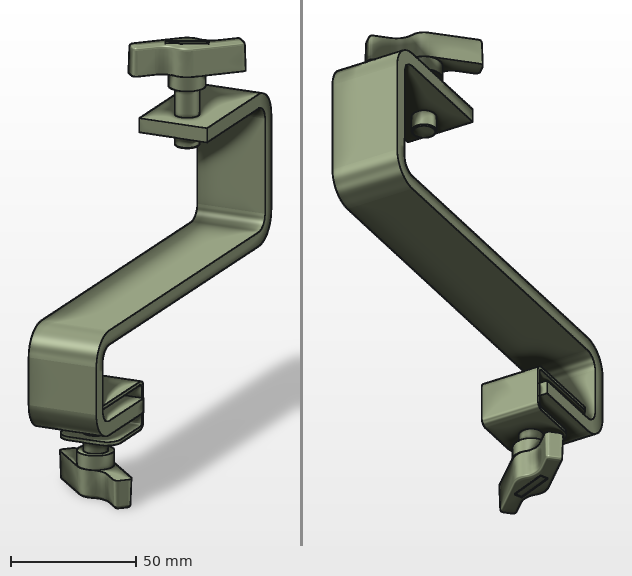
import cadquery as cq
import math


total_height = 164.5

strip_width = 30.0
strip_thickness = 6.0
bend_outer_radius = 12.0
bend_inner_radius = bend_outer_radius - strip_thickness
bracket_length = 163.0
upper_flange_length = 60.0
lower_flange_length = 44.0
upper_hook_height = 64.0
lower_hook_height = 44.0
lower_flange_z = 32.3

stud_diameter = 10.0
stud_length = 25.0
stud_tip_chamfer = 0.5
collar_diameter = 15.0
collar_height = 6.0
screw_edge_distance = 13.0

knob_height = 12.25
hub_radius = 7.7
wing_reach = 22.8
wing_corner_radius = 2.0
wing_blend_radius = 8.0
knob_taper = 2.0
knob_edge_fillet = 1.5
wing_angle = 45.0
label_length = 17.4
label_width = 3.6
label_depth = 0.4
label_angle = -22.0

clip_width = 26.0
clip_thickness = 1.5
clip_height = 20.5
clip_upper_length = 40.0
clip_lower_length = 27.0
clip_bend_radius = 3.0
clip_upper_corner_radius = 3.5
clip_lower_corner_radius = 6.0
clip_back_y = 48.0

screw_length = knob_height + collar_height + stud_length
lower_stud_tip_z = screw_length
clip_top_z = lower_stud_tip_z + clip_thickness
clip_bottom_z = clip_top_z - clip_height
web_top_z = lower_flange_z + lower_hook_height
web_bottom_z = web_top_z - strip_thickness
upper_flange_z = web_bottom_z + upper_hook_height
lower_screw_y = lower_flange_length - screw_edge_distance
upper_screw_y = bracket_length - upper_flange_length + screw_edge_distance


def box_between(width, y_range, z_range):
    """Box centred on X = 0 spanning the given Y and Z ranges."""
    y_size = y_range[1] - y_range[0]
    z_size = z_range[1] - z_range[0]
    box = cq.Workplane("XY").box(width, y_size, z_size, centered=(True, False, False))
    return box.translate((0, y_range[0], z_range[0]))


def stud_hole(y, z, depth):
    """Cylinder that cuts a stud hole at the given Y, upwards from height Z."""
    return cq.Workplane("XY", origin=(0, y, z)).circle(stud_diameter / 2).extrude(depth)


def make_bracket():
    """S-shaped strip: upper flange, rear web, long bridge, front web and lower flange."""
    outline = [
        (lower_flange_length, lower_flange_z),
        (0, lower_flange_z),
        (0, web_top_z),
        (bracket_length - strip_thickness, web_top_z),
        (bracket_length - strip_thickness, upper_flange_z - strip_thickness),
        (bracket_length - upper_flange_length, upper_flange_z - strip_thickness),
        (bracket_length - upper_flange_length, upper_flange_z),
        (bracket_length, upper_flange_z),
        (bracket_length, web_bottom_z),
        (strip_thickness, web_bottom_z),
        (strip_thickness, lower_flange_z + strip_thickness),
        (lower_flange_length, lower_flange_z + strip_thickness),
    ]
    strip = cq.Workplane("YZ").polyline(outline).close().extrude(strip_width / 2, both=True)

    outer_corners = [outline[1], outline[2], outline[7], outline[8]]
    inner_corners = [outline[3], outline[4], outline[9], outline[10]]
    for corners, radius in ((outer_corners, bend_outer_radius), (inner_corners, bend_inner_radius)):
        for y, z in corners:
            strip = strip.edges(cq.selectors.NearestToPointSelector((0, y, z))).fillet(radius)

    lower_hole = stud_hole(lower_screw_y, lower_flange_z, strip_thickness)
    upper_hole = stud_hole(upper_screw_y, upper_flange_z - strip_thickness, strip_thickness)
    return strip.cut(lower_hole).cut(upper_hole)


def make_clip():
    """U-shaped sheet clip around the lower flange, open towards the front web."""
    upper_end_y = clip_back_y - clip_upper_length
    lower_end_y = clip_back_y - clip_lower_length
    outer = box_between(clip_width, (upper_end_y, clip_back_y), (clip_bottom_z, clip_top_z))
    outer = outer.edges("|X and >Y").fillet(clip_bend_radius)
    opening = box_between(
        clip_width,
        (upper_end_y, clip_back_y - clip_thickness),
        (clip_bottom_z + clip_thickness, clip_top_z - clip_thickness),
    )
    opening = opening.edges("|X and >Y").fillet(clip_bend_radius - clip_thickness)
    lower_trim = box_between(
        clip_width, (upper_end_y, lower_end_y), (clip_bottom_z, clip_bottom_z + clip_thickness)
    )
    clip = outer.cut(opening).cut(lower_trim)

    clip = clip.edges("|Z and <Y").fillet(clip_upper_corner_radius)
    lower_tip = cq.selectors.BoxSelector(
        (-clip_width, lower_end_y - clip_thickness, clip_bottom_z),
        (clip_width, lower_end_y + clip_thickness, clip_bottom_z + clip_thickness),
    )
    clip = clip.edges(lower_tip).edges("|Z").fillet(clip_lower_corner_radius)

    return clip.cut(stud_hole(lower_screw_y, clip_bottom_z, clip_thickness))


def wing_outline():
    """Two-winged knob outline, point-symmetric, with its wings along X.

    Each wing has one long side tangent to the hub and the other blended into the hub by a hollow arc.
    """
    blend_x = math.sqrt((hub_radius + wing_blend_radius) ** 2 - wing_blend_radius**2)
    hub_share = hub_radius / (hub_radius + wing_blend_radius)
    blend_on_hub = (-blend_x * hub_share, -wing_blend_radius * hub_share)
    hub_mid_angle = (math.atan2(blend_on_hub[1], blend_on_hub[0]) - math.pi / 2) / 2
    hub_mid = (hub_radius * math.cos(hub_mid_angle), hub_radius * math.sin(hub_mid_angle))
    blend_mid_angle = (math.pi / 2 + math.atan2(wing_blend_radius, blend_x)) / 2
    blend_mid = (
        -blend_x + wing_blend_radius * math.cos(blend_mid_angle),
        -wing_blend_radius + wing_blend_radius * math.sin(blend_mid_angle),
    )
    return (
        cq.Workplane("XY")
        .moveTo(0, hub_radius)
        .lineTo(-wing_reach, hub_radius)
        .lineTo(-wing_reach, 0)
        .lineTo(-blend_x, 0)
        .threePointArc(blend_mid, blend_on_hub)
        .threePointArc(hub_mid, (0, -hub_radius))
        .lineTo(wing_reach, -hub_radius)
        .lineTo(wing_reach, 0)
        .lineTo(blend_x, 0)
        .threePointArc((-blend_mid[0], -blend_mid[1]), (-blend_on_hub[0], -blend_on_hub[1]))
        .threePointArc((-hub_mid[0], -hub_mid[1]), (0, hub_radius))
        .close()
    )


def make_screw():
    """Wing screw standing on its stud tip: stud, collar and knob stacked along Z from Z = 0."""
    stud = (
        cq.Workplane("XY")
        .circle(stud_diameter / 2)
        .extrude(stud_length)
        .faces("<Z")
        .chamfer(stud_tip_chamfer)
    )
    collar = (
        cq.Workplane("XY", origin=(0, 0, stud_length))
        .circle(collar_diameter / 2)
        .extrude(collar_height)
    )

    sharp_outline = wing_outline().wire().val()
    wing_tips = [v for v in sharp_outline.Vertices() if math.isclose(abs(v.X), wing_reach)]
    knob_outline = sharp_outline.fillet2D(wing_corner_radius, wing_tips)
    knob = cq.Workplane("XY").add(knob_outline).toPending().extrude(knob_height, taper=knob_taper)
    knob = knob.faces(">Z").edges().fillet(knob_edge_fillet)

    label_recess = (
        cq.Workplane("XY", origin=(0, 0, knob_height - label_depth))
        .transformed(rotate=(0, 0, label_angle))
        .rect(label_length, label_width)
        .extrude(label_depth)
    )
    knob = knob.cut(label_recess)
    knob = knob.rotate((0, 0, 0), (0, 0, 1), wing_angle).translate((0, 0, stud_length + collar_height))
    return stud.union(collar).union(knob)


bracket = make_bracket()
clip = make_clip()
upper_screw = make_screw().translate((0, upper_screw_y, total_height - screw_length))
lower_screw = (
    make_screw().rotate((0, 0, 0), (1, 0, 0), 180).translate((0, lower_screw_y, lower_stud_tip_z))
)

result = cq.Compound.makeCompound([bracket.val(), clip.val(), upper_screw.val(), lower_screw.val()])